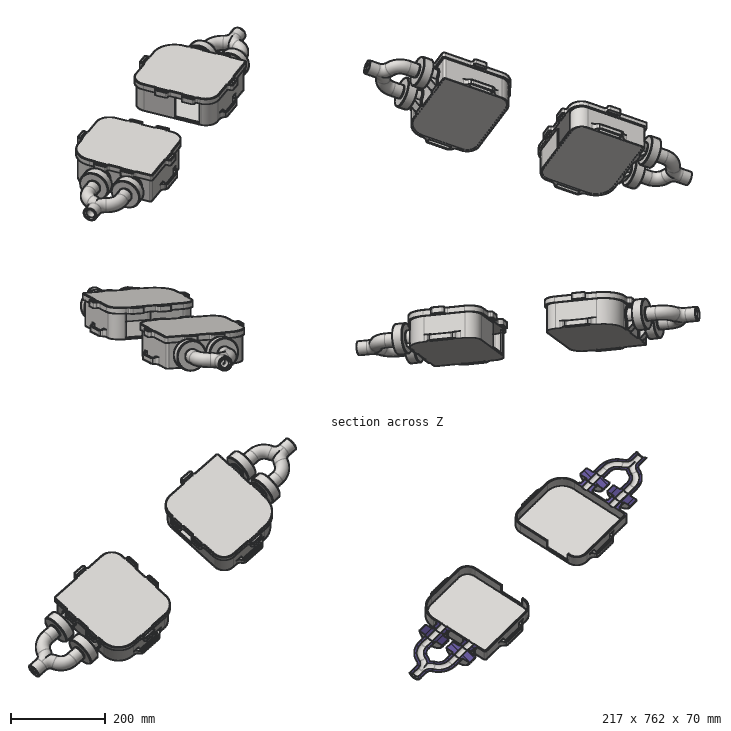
import cadquery as cq
import math


lid_half_width = 97.0
lid_back = 70.0
lid_front = 242.5
overhang = 4.0
tub_half_width = lid_half_width - overhang
tub_back = 75.0
tub_front = lid_front - overhang
tub_back_radius = 27.5
tub_side_radius = 44.0
sharp_radius = 4.5

total_height = 70.0
lid_thickness = 14.0
lid_chamfer = 1.5
tub_height = total_height - lid_thickness
wall = 4.0
floor_thickness = 2.0

window_left = 6.0
window_right = 62.5
window_bottom = 4.0

clip_tip_width = 22.0
clip_base_width = 36.5
clip_reach_y = 9.0
clip_reach_x = 11.5
clip_slot_width = 21.0
clip_slot_depth = 4.5
clip_centers_x = (-20.5, 41.0)
clip_center_y = 159.0

foot_center_y = 152.5
foot_base_width = 81.5
foot_tip_width = 43.5
foot_reach = 11.0
foot_height_at_wall = 16.0
foot_height_at_tip = 11.5
foot_bar_thickness = 3.0
foot_slot_width = 52.0

outlet_x = 16.0
leg_offset = 36.5
leg_centers_x = (outlet_x - leg_offset, outlet_x + leg_offset)
pipe_diameter = 30.5
bore_diameter = 19.0
mouth_diameter = 25.0
pipe_z = 33.5
pipe_start = 284.0
bend_start = 305.0
bend_end = 359.0
pipe_end = 381.0
leg_bend_radius = 33.0

nut_diameter = 65.5
nut_hub_diameter = 30.5
nut_hub_length = 2.0
nut_width = 23.0
nut_chamfer = 1.5
nut_back = pipe_start - nut_width - 2 * nut_hub_length

port_diameter = 34.0
port_pad_diameter = 40.0
port_pad_thickness = 3.0
pad_leg_width = 26.0
gusset_width = 20.0


def rounded_block(half_width, back, front, radius_back, radius_side, bottom, height):
    """Box with rounded vertical edges; only the +X, front edge is nearly sharp."""
    block = (
        cq.Workplane("XY", origin=(0, (back + front) / 2, bottom))
        .rect(2 * half_width, front - back)
        .extrude(height)
    )
    block = block.edges("|Z and <Y").fillet(radius_back)
    middle = bottom + height / 2
    for x, radius in ((-half_width, radius_side), (half_width, sharp_radius)):
        corner = cq.selectors.NearestToPointSelector((x, front, middle))
        block = block.edges(corner).fillet(radius)
    return block


def cylinder_y(diameter, x, start, end):
    """Cylinder along Y at the height of the pipe axis."""
    return cq.Workplane("XZ", origin=(x, start, pipe_z)).circle(diameter / 2).extrude(start - end)


def flared_block(base_width, tip_width, reach, overlap, bottom, height):
    """Block pointing along +Y whose sides sweep in an S from the wall at Y = 0 to a narrower tip."""
    base = base_width / 2
    tip = tip_width / 2
    run = base - tip
    half_turn = math.atan(reach / run)
    sag_run = run / 4 + reach / 4 * math.tan(half_turn / 2)
    sag_rise = reach / 4 - run / 4 * math.tan(half_turn / 2)
    return (
        cq.Workplane("XY", origin=(0, 0, bottom))
        .moveTo(-base, -overlap)
        .lineTo(-base, 0)
        .threePointArc((-base + sag_run, sag_rise), (-base + run / 2, reach / 2))
        .threePointArc((-tip - sag_run, reach - sag_rise), (-tip, reach))
        .lineTo(tip, reach)
        .threePointArc((tip + sag_run, reach - sag_rise), (base - run / 2, reach / 2))
        .threePointArc((base - sag_run, sag_rise), (base, 0))
        .lineTo(base, -overlap)
        .close()
        .extrude(height)
    )


def place(feature, x, y, angle):
    """Turn a feature that points along +Y about Z, then move it to the rim."""
    return feature.rotate((0, 0, 0), (0, 0, 1), angle).translate((x, y, 0))


def clip(reach):
    """Flared lug on the lid rim, as thick as the lid."""
    return flared_block(clip_base_width, clip_tip_width, reach, overhang, tub_height, lid_thickness)


def clip_slot():
    """Slot through a clip, just outside the rim."""
    return (
        cq.Workplane("XY", origin=(0, clip_slot_depth / 2, tub_height))
        .rect(clip_slot_width, clip_slot_depth)
        .extrude(lid_thickness)
    )


def lid():
    """Flat cover with a chamfered top edge and slotted clips around its rim."""
    clip_places = [(x, lid_front, 0, clip_reach_y) for x in clip_centers_x]
    clip_places += [(x, lid_back, 180, clip_reach_y) for x in clip_centers_x]
    clip_places += [
        (-lid_half_width, clip_center_y, 90, clip_reach_x),
        (lid_half_width, clip_center_y, -90, clip_reach_x),
    ]
    body = rounded_block(
        lid_half_width, lid_back, lid_front,
        tub_back_radius + overhang, tub_side_radius + overhang,
        tub_height, lid_thickness,
    )
    for x, y, angle, reach in clip_places:
        body = body.union(place(clip(reach), x, y, angle))
    body = body.faces(">Z").chamfer(lid_chamfer)
    for x, y, angle, reach in clip_places:
        body = body.cut(place(clip_slot(), x, y, angle))
    return body


def foot():
    """Flared loop on the bottom edge: a top that slopes outward and a slot behind its bar."""
    body = flared_block(foot_base_width, foot_tip_width, foot_reach, wall / 2, 0, foot_height_at_wall)
    slope = (
        cq.Workplane("YZ", origin=(-foot_base_width / 2, 0, 0))
        .moveTo(0, foot_height_at_wall)
        .lineTo(foot_reach, foot_height_at_tip)
        .lineTo(foot_reach, foot_height_at_wall)
        .close()
        .extrude(foot_base_width)
    )
    slot_depth = foot_reach - foot_bar_thickness
    slot = (
        cq.Workplane("XY", origin=(0, slot_depth / 2, 0))
        .rect(foot_slot_width, slot_depth)
        .extrude(foot_height_at_wall)
    )
    return body.cut(slope).cut(slot)


def port(x):
    """Pipe stub on a round pad that runs down to the underside, with a sloping gusset below the stub."""
    pad_face = tub_front + port_pad_thickness
    stub = cylinder_y(port_diameter, x, tub_front, nut_back)
    pad = cylinder_y(port_pad_diameter, x, tub_front, pad_face)
    pad_leg = (
        cq.Workplane("XY", origin=(x, (tub_front + pad_face) / 2, 0))
        .rect(pad_leg_width, port_pad_thickness)
        .extrude(pipe_z)
    )
    gusset = (
        cq.Workplane("YZ", origin=(x - gusset_width / 2, 0, 0))
        .moveTo(tub_front, 0)
        .lineTo(pad_face, 0)
        .lineTo(nut_back, nut_back - pad_face)
        .lineTo(nut_back, pipe_z)
        .lineTo(tub_front, pipe_z)
        .close()
        .extrude(gusset_width)
    )
    return stub.union(pad).union(pad_leg).union(gusset)


def tub():
    """Open-topped box with a back window, two side feet and two bored ports."""
    body = rounded_block(
        tub_half_width, tub_back, tub_front,
        tub_back_radius, tub_side_radius,
        0, tub_height,
    )
    for x, angle in ((-tub_half_width, 90), (tub_half_width, -90)):
        body = body.union(place(foot(), x, foot_center_y, angle))
    for x in leg_centers_x:
        body = body.union(port(x))
    cavity = rounded_block(
        tub_half_width - wall, tub_back + wall, tub_front - wall,
        tub_back_radius - wall, tub_side_radius - wall,
        floor_thickness, tub_height - floor_thickness,
    )
    window = (
        cq.Workplane("XY", origin=((window_left + window_right) / 2, tub_back, window_bottom))
        .rect(window_right - window_left, 2 * wall)
        .extrude(tub_height - window_bottom)
    )
    body = body.cut(cavity).cut(window)
    for x in leg_centers_x:
        body = body.cut(cylinder_y(bore_diameter, x, tub_front - 2 * wall, nut_back))
    return body


def nut(x):
    """Round nut with a short hub on each face, bored for the flow."""
    front_face = pipe_start - nut_hub_length
    rim = cylinder_y(nut_diameter, x, front_face - nut_width, front_face)
    rim = rim.faces("<Y or >Y").chamfer(nut_chamfer)
    hub = cylinder_y(nut_hub_diameter, x, nut_back, pipe_start)
    bore = cylinder_y(bore_diameter, x, nut_back, pipe_start)
    return rim.union(hub).cut(bore)


def leg_path(x):
    """Centreline of one leg: straight, bent toward the outlet, then bent back along Y."""
    rise = bend_end - bend_start
    side_step = outlet_x - x
    bend_angle = 2 * math.atan(abs(side_step) / rise)
    first_share = leg_bend_radius * math.sin(bend_angle) / rise
    outlet_bend_radius = leg_bend_radius * (1 - first_share) / first_share
    inward = math.copysign(1, side_step)

    def on_leg_bend(angle):
        across = leg_bend_radius * (1 - math.cos(angle))
        return x + inward * across, bend_start + leg_bend_radius * math.sin(angle)

    def on_outlet_bend(angle):
        across = outlet_bend_radius * (1 - math.cos(angle))
        return outlet_x - inward * across, bend_end - outlet_bend_radius * math.sin(angle)

    return (
        cq.Workplane("XY", origin=(0, 0, pipe_z))
        .moveTo(x, pipe_start)
        .lineTo(x, bend_start)
        .threePointArc(on_leg_bend(bend_angle / 2), on_leg_bend(bend_angle))
        .threePointArc(on_outlet_bend(bend_angle / 2), on_outlet_bend(0))
    )


def pipe_run(diameter):
    """Two bent legs that merge into one straight outlet, as a full round bar."""
    run = cylinder_y(diameter, outlet_x, bend_end, pipe_end)
    for x in leg_centers_x:
        start = cq.Workplane("XZ", origin=(x, pipe_start, pipe_z)).circle(diameter / 2)
        run = run.union(start.sweep(leg_path(x)))
    return run


def pipe():
    """Hollow Y-pipe with a countersunk outlet mouth."""
    mouth_depth = (mouth_diameter - bore_diameter) / 2
    mouth = cq.Workplane("XY").add(
        cq.Solid.makeCone(
            mouth_diameter / 2, bore_diameter / 2, mouth_depth,
            pnt=cq.Vector(outlet_x, pipe_end, pipe_z), dir=cq.Vector(0, -1, 0),
        )
    )
    return pipe_run(pipe_diameter).cut(pipe_run(bore_diameter)).cut(mouth)


far_unit = [tub(), lid(), pipe()] + [nut(x) for x in leg_centers_x]
near_unit = [body.mirror("XZ") for body in far_unit]
result = cq.Compound.makeCompound([body.val() for body in far_unit + near_unit])